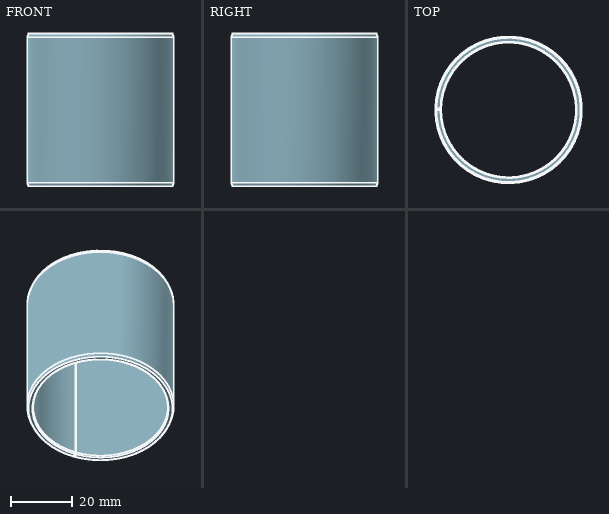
import cadquery as cq

length = 50.0
outer_radius = 24.0
wall = 2.0
inner_radius = outer_radius - wall

outer_chamfer_height = 1.2
outer_chamfer_depth = 0.45
inner_chamfer_height = 0.6
inner_chamfer_depth = 0.3

joint_angle = 1.0


def wall_profile():
    """Section of the wall at -X in the XZ plane, chamfered at all four corners."""
    outer_end = outer_radius - outer_chamfer_depth
    inner_end = inner_radius + inner_chamfer_depth
    return (
        cq.Workplane("XZ")
        .moveTo(-inner_end, 0)
        .lineTo(-outer_end, 0)
        .lineTo(-outer_radius, outer_chamfer_height)
        .lineTo(-outer_radius, length - outer_chamfer_height)
        .lineTo(-outer_end, length)
        .lineTo(-inner_end, length)
        .lineTo(-inner_radius, length - inner_chamfer_height)
        .lineTo(-inner_radius, inner_chamfer_height)
        .close()
    )


result = wall_profile().revolve(360 - joint_angle, (0, 0, 0), (0, 1, 0))